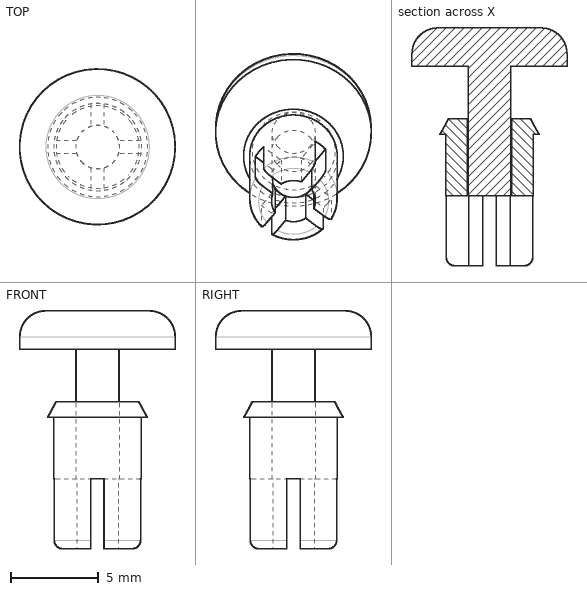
import cadquery as cq

total_height = 13.6

head_diameter = 8.9
head_height = 2.2
head_round = 1.5
shank_diameter = 2.48

bore_diameter = 2.5
barrel_diameter = 5.0
collar_base_diameter = 5.7
collar_top_diameter = 4.73
collar_height = 0.9
sleeve_height = 8.4
end_round = 0.5
slot_width = 0.75
slot_height = 4.0

shank_end = slot_height
head_base = total_height - head_height
collar_base = sleeve_height - collar_height


def cylinder(diameter, bottom, top):
    """Round solid on the Z axis between two heights."""
    return cq.Workplane("XY").workplane(offset=bottom).circle(diameter / 2).extrude(top - bottom)


def make_push_pin():
    head = cylinder(head_diameter, head_base, total_height).faces(">Z").edges().fillet(head_round)
    shank = cylinder(shank_diameter, shank_end, head_base)
    return head.union(shank)


def make_collar():
    """Cone that narrows upward, with its wide rim overhanging the barrel."""
    return (
        cq.Workplane("XY")
        .workplane(offset=collar_base)
        .circle(collar_base_diameter / 2)
        .workplane(offset=collar_height)
        .circle(collar_top_diameter / 2)
        .loft()
    )


def make_sleeve():
    barrel = cylinder(barrel_diameter, 0, collar_base).faces("<Z").edges().fillet(end_round)
    sleeve = barrel.union(make_collar())
    sleeve = sleeve.cut(cylinder(bore_diameter, 0, sleeve_height))
    for length_x, length_y in ((barrel_diameter, slot_width), (slot_width, barrel_diameter)):
        slot = cq.Workplane("XY").rect(length_x, length_y).extrude(slot_height)
        sleeve = sleeve.cut(slot)
    return sleeve


push_pin = make_push_pin()
sleeve = make_sleeve()

result = cq.Compound.makeCompound([push_pin.val(), sleeve.val()])